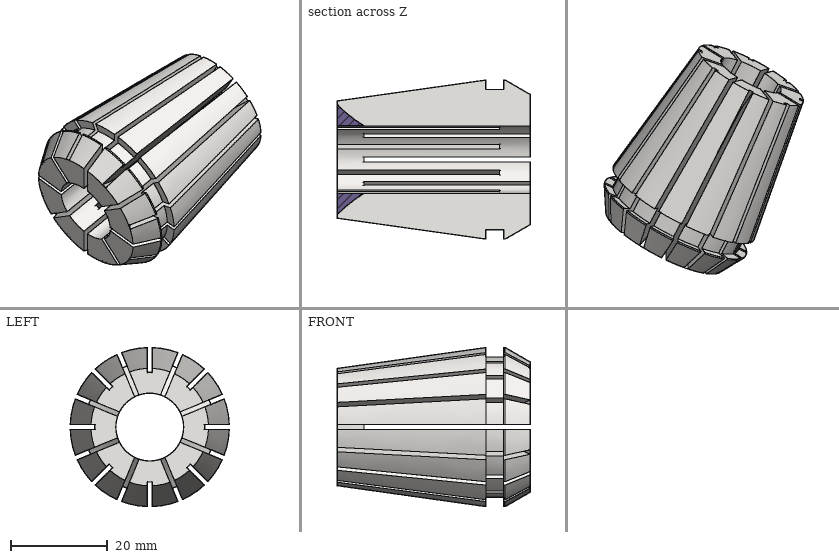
import cadquery as cq
import math

length = 40.0
max_radius = 16.5
bore_radius = 7.0

taper_end = 30.8
groove_end = 34.5
land_end = 34.8

taper_angle = math.radians(8.0)
head_angle = math.radians(30.0)
groove_radius = 14.55
tail_radius = max_radius - taper_end * math.tan(taper_angle)
face_radius = max_radius - (length - land_end) * math.tan(head_angle)

slots_per_end = 8
slot_width = 1.0
slot_pitch = 360.0 / slots_per_end
slot_top = max_radius + 4.0

cutter_radius = 30.0
foot_radius = 6.0
tail_web_radius = 11.4
tail_web_length = 7.3
face_web_radius = 13.6
face_web_length = 7.8


def collet_body():
    """Tapered body, nut groove and conical head revolved around X, with the through bore."""
    return (
        cq.Workplane("XY")
        .moveTo(0, bore_radius)
        .lineTo(0, tail_radius)
        .lineTo(taper_end, max_radius)
        .lineTo(taper_end, groove_radius)
        .lineTo(groove_end, groove_radius)
        .lineTo(groove_end, max_radius)
        .lineTo(land_end, max_radius)
        .lineTo(length, face_radius)
        .lineTo(length, bore_radius)
        .close()
        .revolve(360, (0, 0, 0), (1, 0, 0))
    )


def slot_cutter(open_x, closed_x, web_radius, web_length):
    """Radial slot along the whole length, full depth except over the web at closed_x."""
    foot_x = closed_x + math.copysign(web_length, open_x - closed_x)
    arc_radius = math.copysign(cutter_radius, closed_x - open_x)
    return (
        cq.Workplane("XY")
        .moveTo(closed_x, slot_top)
        .lineTo(closed_x, web_radius)
        .radiusArc((foot_x, foot_radius), arc_radius)
        .lineTo(foot_x, 0)
        .lineTo(open_x, 0)
        .lineTo(open_x, slot_top)
        .close()
        .extrude(slot_width / 2, both=True)
    )


def cut_slots(body, cutter, first_angle):
    """Cut one set of evenly spaced slots around the X axis."""
    for i in range(slots_per_end):
        angle = first_angle + i * slot_pitch
        body = body.cut(cutter.rotate((0, 0, 0), (1, 0, 0), angle))
    return body


head_slot = slot_cutter(length, 0, tail_web_radius, tail_web_length)
tail_slot = slot_cutter(0, length, face_web_radius, face_web_length)

result = collet_body()
result = cut_slots(result, head_slot, 0)
result = cut_slots(result, tail_slot, slot_pitch / 2)